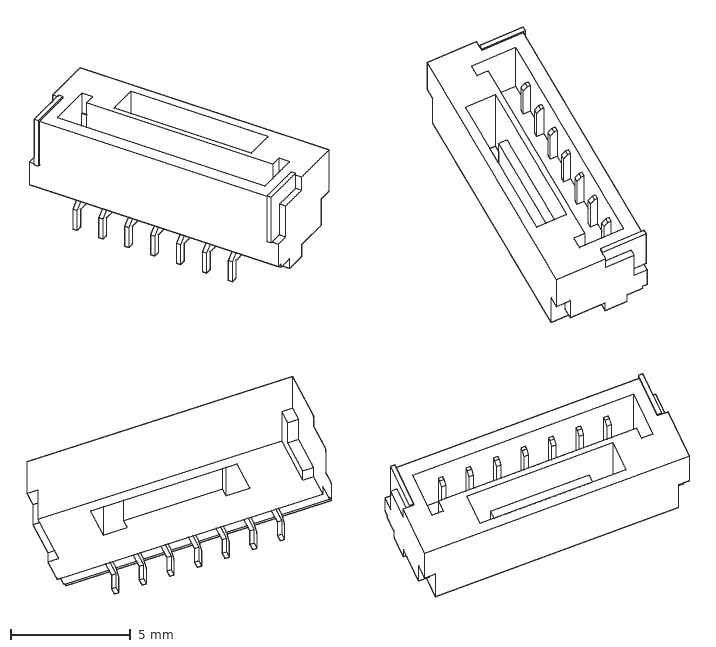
import cadquery as cq

length = 12.0
depth = 4.25
height = 4.05

lip_depth = 0.22
lip_height = 0.66
undercut_depth = 0.95
undercut_height = 0.5

pocket_length = 10.01
pocket_front = 0.61
pocket_back = 2.16
pocket_floor = 1.01
ear_length = 0.52
ear_back = 2.64
ear_ledge = 0.04
ear_ledge_drop = 1.01

window_length = 6.61
window_front = 2.41
window_back = depth - 0.43
catch_length = 4.46
catch_depth = 0.4
catch_height = height / 2

tab_thickness = 0.2
tab_inset = 0.29
tab_overhang = 0.1
tab_back = 1.95
tab_arm_bottom = 3.38
tab_leg_back = 0.61
slot_bottom = 1.81
tab_gap = 0.02

recess_inset = tab_inset + tab_thickness
recess_leg_depth = 0.65
recess_leg_height = 1.95
recess_foot_depth = 2.28
recess_foot_height = 0.61

pin_count = 7
pin_pitch = 1.25
pin_width = 0.2
pin_underside = 0.11
pin_front = -tab_overhang
pin_bottom = -0.79
pin_bend_height = 0.28
pin_tip = 3.0
pin_tip_chamfer = 0.19


def box(x_size, y_range, z_range):
    """Box centred on X = 0 between the given Y and Z limits."""
    (y0, y1), (z0, z1) = y_range, z_range
    return cq.Workplane("XY").box(x_size, y1 - y0, z1 - z0).translate((0, (y0 + y1) / 2, (z0 + z1) / 2))


def plate(points, x_start, thickness):
    """Extrude a (Y, Z) outline along +X from x_start."""
    return cq.Workplane("YZ").workplane(offset=x_start).polyline(points).close().extrude(thickness)


def both_ends(shape):
    """The shape together with its mirror image at the other end."""
    return shape.union(shape.mirror("YZ"))


def tab_outline(front, bottom, top):
    """Inverted L: an arm along the top and a leg down the front."""
    return [
        (front, bottom),
        (tab_leg_back, bottom),
        (tab_leg_back, tab_arm_bottom),
        (tab_back, tab_arm_bottom),
        (tab_back, top),
        (front, top),
    ]


def make_housing():
    side_profile = [
        (undercut_depth, 0),
        (depth, 0),
        (depth, height),
        (0, height),
        (0, lip_height),
        (lip_depth, lip_height),
        (lip_depth, undercut_height),
        (undercut_depth, undercut_height),
    ]
    return plate(side_profile, -length / 2, length)


def make_pocket():
    pocket = box(pocket_length, (pocket_front, pocket_back), (pocket_floor, height))
    ledge_height = height - ear_ledge_drop
    ears = box(pocket_length, (pocket_back, ear_back), (pocket_floor, height))
    ears = ears.union(box(pocket_length, (ear_back, ear_back + ear_ledge), (ledge_height, height)))
    wall = box(pocket_length - 2 * ear_length, (pocket_back, ear_back + ear_ledge), (pocket_floor, height))
    return pocket.union(ears.cut(wall))


def make_window():
    window = box(window_length, (window_front, window_back), (0, height))
    catch = box(catch_length, (window_front, window_front + catch_depth), (0, catch_height))
    return window.cut(catch)


def make_tab_slots():
    outline = tab_outline(0, slot_bottom, height)
    return both_ends(plate(outline, -length / 2, tab_inset + tab_thickness))


def make_tabs():
    outline = tab_outline(-tab_overhang, slot_bottom + tab_gap, height + tab_overhang)
    return both_ends(plate(outline, -length / 2 + tab_inset, tab_thickness))


def make_corner_recesses():
    outline = [
        (depth, 0),
        (depth, recess_leg_height),
        (depth - recess_leg_depth, recess_leg_height),
        (depth - recess_leg_depth, recess_foot_height),
        (depth - recess_foot_depth, recess_foot_height),
        (depth - recess_foot_depth, 0),
    ]
    return both_ends(plate(outline, -length / 2, recess_inset))


def make_pin(x_center):
    """Post in the pocket, arm under the housing and leg down at the front."""
    outline = [
        (pin_front, pin_bottom),
        (lip_depth, pin_bottom),
        (lip_depth, pin_underside),
        (undercut_depth, pin_underside),
        (undercut_depth, pin_tip - pin_tip_chamfer),
        (undercut_depth - pin_tip_chamfer, pin_tip),
        (pocket_front, pin_tip),
        (pocket_front, undercut_height),
        (lip_depth, undercut_height),
        (pin_front, undercut_height - pin_bend_height),
    ]
    return plate(outline, x_center - pin_width / 2, pin_width)


result = (
    make_housing()
    .cut(make_pocket())
    .cut(make_window())
    .cut(make_tab_slots())
    .cut(make_corner_recesses())
    .union(make_tabs())
)
for index in range(pin_count):
    result = result.union(make_pin((index - (pin_count - 1) / 2) * pin_pitch))